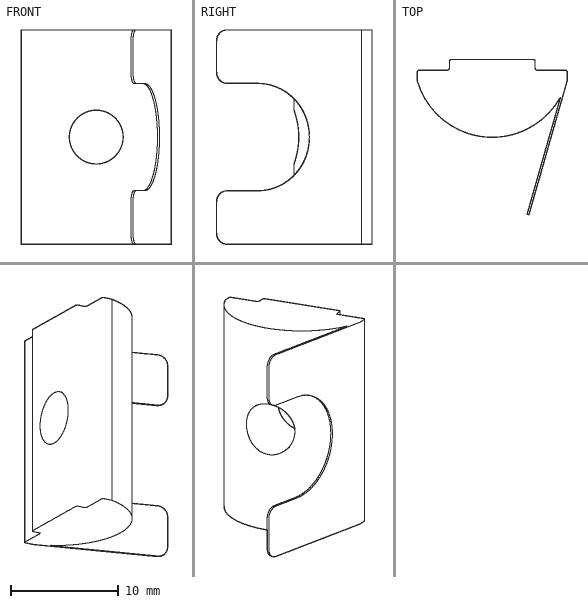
import cadquery as cq
import math

length = 20.0
width = 14.0
rib_width = 8.0
rib_height = 1.0
side_bottom_y = -2.0
round_radius = math.hypot(width / 2, side_bottom_y)
edge_radius = 0.2
hole_diameter = 5.0

flap_length = 13.0
flap_thickness = 0.2
flap_corner_radius = 1.0
slot_width = 10.0
slot_center_from_tip = 4.0


def make_body():
    half_width = width / 2
    half_rib = rib_width / 2
    body = (
        cq.Workplane("XY")
        .moveTo(-half_width, side_bottom_y)
        .threePointArc((0, -round_radius), (half_width, side_bottom_y))
        .lineTo(half_width, -rib_height)
        .lineTo(half_rib, -rib_height)
        .lineTo(half_rib, 0)
        .lineTo(-half_rib, 0)
        .lineTo(-half_rib, -rib_height)
        .lineTo(-half_width, -rib_height)
        .close()
        .extrude(length)
    )
    back_edges = cq.selectors.BoxSelector(
        (-width, -rib_height - edge_radius, 0),
        (width, edge_radius, length),
    )
    return body.edges("|Z").edges(back_edges).fillet(edge_radius)


def make_flap():
    tangent = cq.Vector(side_bottom_y, -width / 2, 0)
    inward = cq.Vector(-width / 2, -side_bottom_y, 0)
    plane = cq.Plane(origin=(width / 2, side_bottom_y, length / 2), xDir=tangent, normal=inward)
    sheet = (
        cq.Workplane(plane)
        .center(flap_length / 2, 0)
        .rect(flap_length, length)
        .extrude(flap_thickness)
    )
    slot_center = flap_length - slot_center_from_tip
    round_end = cq.Workplane(plane).center(slot_center, 0).circle(slot_width / 2).extrude(flap_thickness)
    open_end = (
        cq.Workplane(plane)
        .center(slot_center + slot_center_from_tip / 2, 0)
        .rect(slot_center_from_tip, slot_width)
        .extrude(flap_thickness)
    )
    flap = sheet.cut(round_end).cut(open_end)
    tip_face = flap.faces(cq.selectors.DirectionMinMaxSelector(tangent, True))
    return tip_face.edges(cq.selectors.ParallelDirSelector(inward)).fillet(flap_corner_radius)


def make_hole():
    return (
        cq.Workplane("XZ")
        .center(0, length / 2)
        .circle(hole_diameter / 2)
        .extrude(round_radius + edge_radius)
    )


result = make_body().cut(make_hole()).union(make_flap())